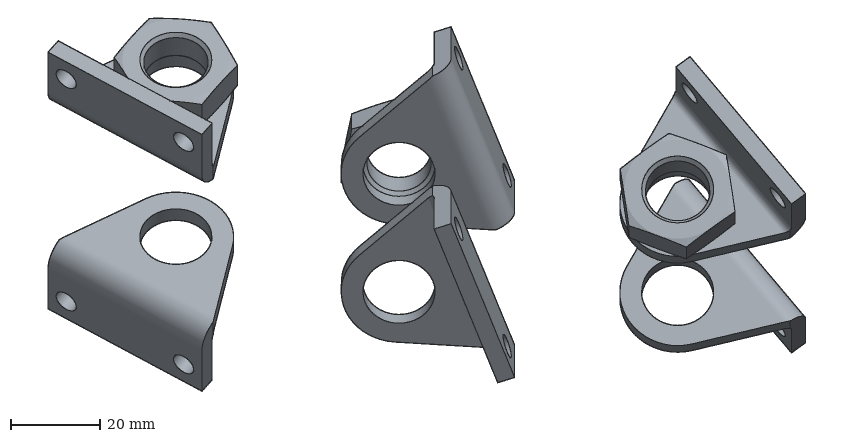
import cadquery as cq
import math

total_height = 90.0

bracket_width = 42.0
bracket_height = 20.1
thickness = 4.05
bend_outer_radius = 5.8
bend_inner_radius = bend_outer_radius - thickness
eye_distance = 20.0
eye_outer_radius = 13.0
eye_hole_diameter = 16.1
taper_start = 4.4
mount_hole_diameter = 5.5
mount_hole_spacing = 32.0
mount_hole_edge = 6.0

nut_across_flats = 24.0
nut_across_corners = nut_across_flats / math.cos(math.radians(30))
nut_height = 8.0
nut_bore_diameter = 14.4
nut_mouth_diameter = 16.1
nut_face_diameter = 23.85
nut_corner_angle = 15.0


def make_angle_strip():
    """L-shaped strip with a round bend; flange front face at y = 0, base at z = 0."""
    depth = eye_distance + eye_outer_radius
    return (
        cq.Workplane("YZ")
        .moveTo(depth, 0)
        .lineTo(bend_outer_radius, 0)
        .radiusArc((0, bend_outer_radius), bend_outer_radius)
        .lineTo(0, bracket_height)
        .lineTo(thickness, bracket_height)
        .lineTo(thickness, bend_outer_radius)
        .radiusArc((bend_outer_radius, thickness), -bend_inner_radius)
        .lineTo(depth, thickness)
        .close()
        .extrude(bracket_width / 2, both=True)
    )


def make_plan_outline():
    """Rectangular flange end, then sides running tangent into the round eye."""
    half_width = bracket_width / 2
    corner_offset = eye_distance - taper_start
    corner_distance = math.hypot(half_width, corner_offset)
    tangent_angle = math.acos(eye_outer_radius / corner_distance) - math.atan2(corner_offset, half_width)
    tangent_x = eye_outer_radius * math.cos(tangent_angle)
    tangent_y = eye_distance + eye_outer_radius * math.sin(tangent_angle)
    return (
        cq.Workplane("XY")
        .moveTo(-half_width, 0)
        .lineTo(half_width, 0)
        .lineTo(half_width, taper_start)
        .lineTo(tangent_x, tangent_y)
        .threePointArc((0, eye_distance + eye_outer_radius), (-tangent_x, tangent_y))
        .lineTo(-half_width, taper_start)
        .close()
        .extrude(bracket_height)
    )


def make_bracket():
    """Bracket with its flange pointing up and its plate resting on z = 0."""
    eye_hole = (
        cq.Workplane("XY")
        .center(0, eye_distance)
        .circle(eye_hole_diameter / 2)
        .extrude(thickness)
    )
    half_spacing = mount_hole_spacing / 2
    hole_height = bracket_height - mount_hole_edge
    mount_holes = (
        cq.Workplane("XZ")
        .pushPoints([(-half_spacing, hole_height), (half_spacing, hole_height)])
        .circle(mount_hole_diameter / 2)
        .extrude(-thickness)
    )
    return make_angle_strip().intersect(make_plan_outline()).cut(eye_hole).cut(mount_holes)


def make_nut():
    """Hex nut standing on z = 0, corners chamfered at both ends, bore mouths chamfered."""
    hexagon = (
        cq.Workplane("XY")
        .polygon(6, nut_across_corners)
        .extrude(nut_height)
        .rotate((0, 0, 0), (0, 0, 1), 30)
    )
    face_radius = nut_face_diameter / 2
    corner_radius = nut_across_corners / 2
    corner_drop = (corner_radius - face_radius) * math.tan(math.radians(nut_corner_angle))
    chamfer_envelope = (
        cq.Workplane("XZ")
        .polyline([
            (0, 0),
            (face_radius, 0),
            (corner_radius, corner_drop),
            (corner_radius, nut_height - corner_drop),
            (face_radius, nut_height),
            (0, nut_height),
        ])
        .close()
        .revolve(360, (0, 0, 0), (0, 1, 0))
    )
    bore_radius = nut_bore_diameter / 2
    mouth_radius = nut_mouth_diameter / 2
    mouth_depth = mouth_radius - bore_radius
    bore = (
        cq.Workplane("XZ")
        .polyline([
            (0, 0),
            (mouth_radius, 0),
            (bore_radius, mouth_depth),
            (bore_radius, nut_height - mouth_depth),
            (mouth_radius, nut_height),
            (0, nut_height),
        ])
        .close()
        .revolve(360, (0, 0, 0), (0, 1, 0))
    )
    return hexagon.intersect(chamfer_envelope).cut(bore)


upper_base = total_height - bracket_height
upper_bracket = make_bracket().translate((0, 0, upper_base))
lower_bracket = upper_bracket.mirror("XY", (0, 0, total_height / 2))
nut = make_nut().translate((0, eye_distance, upper_base + thickness))

result = cq.Compound.makeCompound([upper_bracket.val(), lower_bracket.val(), nut.val()])